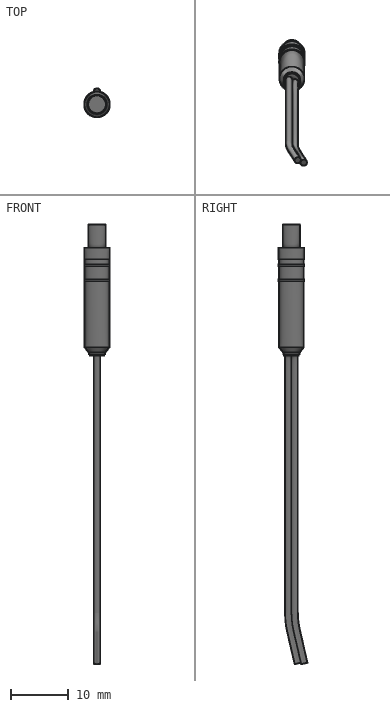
import cadquery as cq
import math

total_height = 75.9

pin_radius = 1.5
pin_length = 4.0
pin_fillet = 0.2
collar_diameter = 4.5
collar_length = 2.0
barrel_diameter = 4.3
barrel_length = 15.2
cone_length = 0.9
neck_radius = 1.45
neck_length = 0.3
tail_radius = 1.3
tail_length = 0.3

gap_width = 0.15
gap_depth = 0.4

band_offsets = (0.9, 3.5)
band_width = 0.3
band_seat_depth = 0.15

wire_diameter = 1.15
wire_overlap = 0.015
straight_end_z = 8.9
bend_angle = math.radians(13)
bend_radius = 13.65

collar_radius = collar_diameter / 2
barrel_radius = barrel_diameter / 2
gap_radius = pin_radius + gap_width
band_bore_radius = barrel_radius - band_seat_depth
wire_radius = wire_diameter / 2
wire_spacing = wire_diameter - wire_overlap

collar_top_z = total_height - pin_length
collar_bottom_z = collar_top_z - collar_length
cone_top_z = collar_bottom_z - barrel_length
neck_top_z = cone_top_z - cone_length
neck_bottom_z = neck_top_z - neck_length
tail_bottom_z = neck_bottom_z - tail_length


def make_body():
    """Turned plug body: pin, collar, barrel with raised bands, cone, neck and tail."""
    outline = [
        (0, total_height),
        (pin_radius, total_height),
        (pin_radius, collar_top_z),
        (collar_radius, collar_top_z),
        (collar_radius, collar_bottom_z),
        (barrel_radius, collar_bottom_z),
        (barrel_radius, cone_top_z),
        (neck_radius, neck_top_z),
        (neck_radius, neck_bottom_z),
        (tail_radius, neck_bottom_z),
        (tail_radius, tail_bottom_z),
        (0, tail_bottom_z),
    ]
    body = cq.Workplane("XZ").polyline(outline).close().revolve(360, (0, 0, 0), (0, 1, 0))
    body = body.faces(">Z").edges().fillet(pin_fillet)
    body = body.cut(make_ring(collar_top_z, gap_depth, pin_radius, gap_radius))
    for offset in band_offsets:
        body = body.union(make_ring(collar_bottom_z - offset, band_width, band_bore_radius, collar_radius))
    return body


def make_ring(top_z, height, inner_radius, outer_radius):
    """Plain ring around the axis, hanging down from top_z."""
    return (
        cq.Workplane("XY", origin=(0, 0, top_z - height))
        .circle(outer_radius)
        .circle(inner_radius)
        .extrude(height)
    )


def make_wire():
    """One wire: a straight run, a bend and a slanted run cut square, its lowest corner at Z = 0."""

    def on_bend(angle):
        return (bend_radius * (1 - math.cos(angle)), straight_end_z - bend_radius * math.sin(angle))

    bend_end_y, bend_end_z = on_bend(bend_angle)
    tip_z = wire_radius * math.sin(bend_angle)
    tip_y = bend_end_y + (bend_end_z - tip_z) * math.tan(bend_angle)
    path = (
        cq.Workplane("YZ")
        .moveTo(0, neck_top_z)
        .lineTo(0, straight_end_z)
        .threePointArc(on_bend(bend_angle / 2), (bend_end_y, bend_end_z))
        .lineTo(tip_y, tip_z)
    )
    return cq.Workplane("XY", origin=(0, 0, neck_top_z)).circle(wire_radius).sweep(path)


result = make_body()
for side in (-1, 1):
    result = result.union(make_wire().translate((0, side * wire_spacing / 2, 0)))